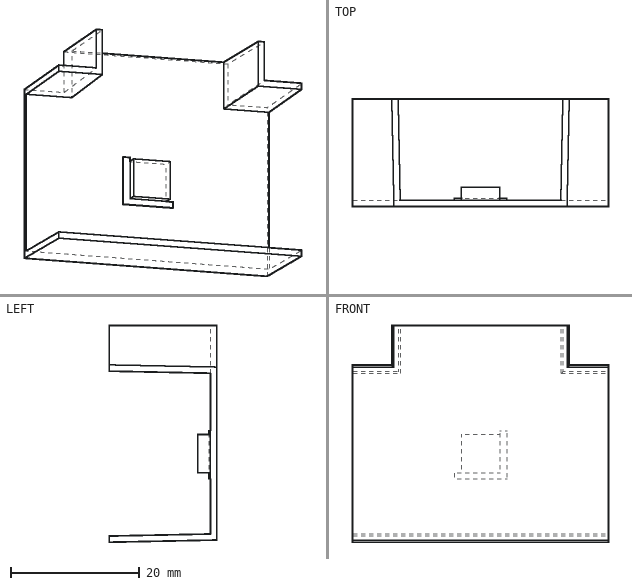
import cadquery as cq

run_length = 40.0
duct_width = 27.0
branch_length = 6.5
depth = 16.8
wall = 1.0
flare = 0.34

pad_side = 6.0
pad_height = 2.0

ledge_height = 0.3
ledge_half_length = 4.1
ledge_bottom = -3.95
ledge_top = 3.6

branch_top = duct_width / 2 + branch_length


def half_width(y, inset):
    """Half width of the flared duct at depth y, moved inward by inset."""
    return duct_width / 2 - inset + flare * y / depth


def duct_profile(workplane, inset, width_first):
    """Closed trapezoid from y = inset to the open back, wider at the back."""
    front = half_width(inset, inset)
    back = half_width(depth, inset)
    corners = [(-front, inset), (front, inset), (back, depth), (-back, depth)]
    if not width_first:
        corners = [(y, width) for width, y in corners]
    return workplane.polyline(corners).close()


def run_body(inset):
    """Main duct volume, drawn in the YZ plane and extruded both ways along X."""
    profile = duct_profile(cq.Workplane("YZ"), inset, width_first=False)
    return profile.extrude(run_length / 2, both=True)


def branch_body(inset):
    """Branch volume, from the main duct centreline up to the branch end."""
    profile = duct_profile(cq.Workplane("XY"), inset, width_first=True)
    return profile.extrude(branch_top)


def tee_body(inset):
    """Main duct and branch joined into one tee-shaped volume."""
    return run_body(inset).union(branch_body(inset))


def inner_pad():
    """Square pad standing behind the front plate."""
    pad = cq.Workplane("XY").box(pad_side, pad_height, pad_side, centered=(True, False, True))
    return pad.translate((0, wall, 0))


def pad_ledge():
    """L-shaped ledge that wraps the -Z and +X sides of the pad."""
    pad_edge = pad_side / 2
    outline = [
        (-ledge_half_length, ledge_bottom),
        (ledge_half_length, ledge_bottom),
        (ledge_half_length, ledge_top),
        (pad_edge, ledge_top),
        (pad_edge, -pad_edge),
        (-ledge_half_length, -pad_edge),
    ]
    plate_back = cq.Workplane("XZ", origin=(0, wall, 0))
    return plate_back.polyline(outline).close().extrude(-ledge_height)


shell = tee_body(0).cut(tee_body(wall))
result = shell.union(inner_pad()).union(pad_ledge())